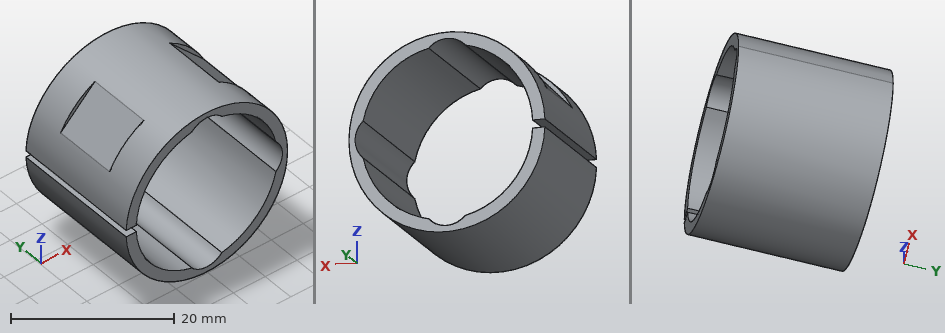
import cadquery as cq
import math

outer_diameter = 25.4
bore_diameter = 22.2
length = 19.63

split_width = 1.02

groove_radius = 3.18
groove_bottom_radius = 11.89
groove_angles = (-90, 0, 90)

flat_length = 9.55
flat_width = 7.62
flat_angles = (45, 135)

outer_radius = outer_diameter / 2
flat_distance = math.sqrt(outer_radius**2 - (flat_width / 2) ** 2)


def cylinder_along_y(radius):
    """Cylinder on the Y axis, as long as the sleeve."""
    return cq.Workplane("XZ").circle(radius).extrude(length / 2, both=True)


def turn_about_y(body, angle):
    """Turn a body about the Y axis from +X toward +Z."""
    return body.rotate((0, 0, 0), (0, 1, 0), -angle)


def split_cutter():
    return cq.Workplane("XY").box(outer_radius, length, split_width).translate((-outer_radius, 0, 0))


def groove_cutter(angle):
    center_distance = groove_bottom_radius - groove_radius
    cutter = cylinder_along_y(groove_radius).translate((center_distance, 0, 0))
    return turn_about_y(cutter, angle)


def flat_cutter(angle):
    depth_beyond_flat = outer_radius - flat_distance
    cutter = (
        cq.Workplane("XY")
        .box(depth_beyond_flat, flat_length, flat_width)
        .translate((flat_distance + depth_beyond_flat / 2, 0, 0))
    )
    return turn_about_y(cutter, angle)


result = cylinder_along_y(outer_radius).cut(cylinder_along_y(bore_diameter / 2))
for groove_angle in groove_angles:
    result = result.cut(groove_cutter(groove_angle))
for flat_angle in flat_angles:
    result = result.cut(flat_cutter(flat_angle))
result = result.cut(split_cutter())